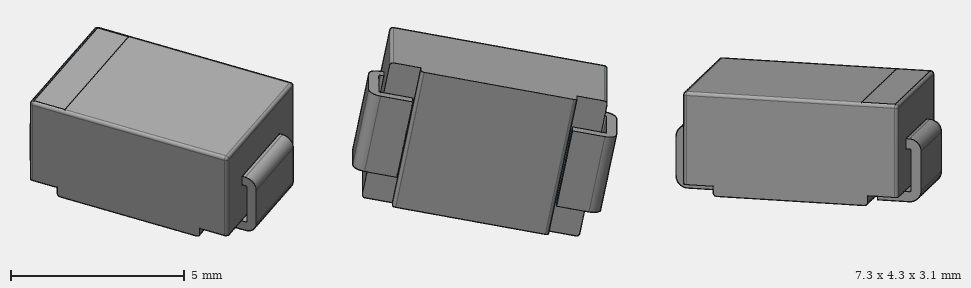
import cadquery as cq

overall_length = 7.3
overall_height = 3.1

housing_length = 6.4
housing_width = 4.3
housing_edge_radius = 0.1
belly_length = 4.6
belly_clearance = 0.05
lead_foot_gap = 0.05

lead_thickness = 0.3
lead_width = 2.4
lead_height = 1.875
lead_foot_length = 1.3
lead_inner_radius = 0.05
lead_outer_radius = lead_inner_radius + lead_thickness

band_length = 1.0
band_depth = 0.05
band_width = housing_width - 2 * housing_edge_radius

shoulder_height = lead_thickness + lead_foot_gap
band_start = -housing_length / 2 + housing_edge_radius


def make_band():
    """Thin rectangular plate flush with the housing top."""
    return (
        cq.Workplane("XY")
        .box(band_length, band_width, band_depth, centered=(False, True, False))
        .translate((band_start, 0, overall_height - band_depth))
    )


def make_housing(band):
    """Rounded block with a narrower belly below and a recess for the band."""
    upper_block = (
        cq.Workplane("XY")
        .workplane(offset=shoulder_height)
        .rect(housing_length, housing_width)
        .extrude(overall_height - shoulder_height)
        .edges("|Z or >Z")
        .fillet(housing_edge_radius)
    )
    belly = (
        cq.Workplane("XY")
        .workplane(offset=belly_clearance)
        .rect(belly_length, housing_width)
        .extrude(shoulder_height - belly_clearance)
        .edges("|Y and <Z")
        .fillet(housing_edge_radius)
    )
    return upper_block.union(belly).cut(band)


def make_lead(side):
    """C-shaped strip; side is -1 for the -X end and +1 for the +X end."""
    outer_x = side * overall_length / 2
    inner_x = outer_x - side * lead_thickness
    housing_x = side * housing_length / 2
    foot_x = outer_x - side * lead_foot_length
    arm_bottom = lead_height - lead_thickness

    strip = (
        cq.Workplane("XZ")
        .moveTo(housing_x, lead_height)
        .lineTo(outer_x, lead_height)
        .lineTo(outer_x, 0)
        .lineTo(foot_x, 0)
        .lineTo(foot_x, lead_thickness)
        .lineTo(inner_x, lead_thickness)
        .lineTo(inner_x, arm_bottom)
        .lineTo(housing_x, arm_bottom)
        .close()
        .extrude(lead_width / 2, both=True)
    )

    def bend_edges(x, heights):
        points = [(x, 0, z) for z in heights]
        edges = [strip.edges(cq.NearestToPointSelector(point)).val() for point in points]
        return strip.newObject(edges)

    strip = bend_edges(outer_x, (0, lead_height)).fillet(lead_outer_radius)
    return bend_edges(inner_x, (lead_thickness, arm_bottom)).fillet(lead_inner_radius)


band = make_band()
housing = make_housing(band)
leads = [make_lead(side) for side in (-1, 1)]

result = cq.Compound.makeCompound([housing.val(), band.val(), *[lead.val() for lead in leads]])